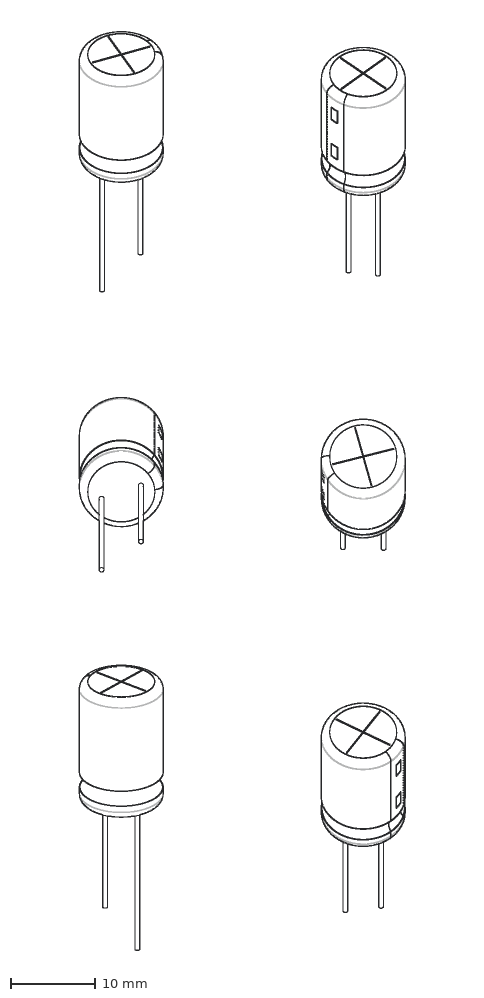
import cadquery as cq
import math

DIAMETER = 10.0
TOTAL_HEIGHT = 35.0
LONG_LEAD_LENGTH = 19.0
SHORT_LEAD_LENGTH = 15.0
LEAD_DIAMETER = 0.6
LEAD_PITCH = 5.0

ROUNDING = 1.0
GROOVE_BOTTOM = 1.85
GROOVE_TOP = 3.85
GROOVE_DEPTH = 0.42

SLEEVE_THICKNESS = 0.1
STRIPE_HALF_ANGLE = 16.5
MINUS_HEIGHT = 2.0
MINUS_SPACING = 6.0
MINUS_WIDTH = 1.0

VENT_LENGTH = 7.5
VENT_WIDTH = 0.1
VENT_DEPTH = 0.1

RADIUS = DIAMETER / 2
BODY_HEIGHT = TOTAL_HEIGHT - LONG_LEAD_LENGTH
FLAT_RADIUS = RADIUS - ROUNDING
GROOVE_MIDDLE = (GROOVE_BOTTOM + GROOVE_TOP) / 2
MINUS_MIDDLE = (GROOVE_TOP + BODY_HEIGHT - ROUNDING) / 2


def rolled_body(inset):
    """Rounded, grooved cylinder whose wall lies `inset` inside the outer surface."""
    wall = RADIUS - inset
    corner = (ROUNDING - inset) * math.sqrt(0.5)
    bottom = inset
    top = BODY_HEIGHT - inset
    return (
        cq.Workplane("YZ")
        .moveTo(0, bottom)
        .lineTo(FLAT_RADIUS, bottom)
        .threePointArc((FLAT_RADIUS + corner, ROUNDING - corner), (wall, ROUNDING))
        .lineTo(wall, GROOVE_BOTTOM)
        .threePointArc((wall - GROOVE_DEPTH, GROOVE_MIDDLE), (wall, GROOVE_TOP))
        .lineTo(wall, BODY_HEIGHT - ROUNDING)
        .threePointArc((FLAT_RADIUS + corner, BODY_HEIGHT - ROUNDING + corner), (FLAT_RADIUS, top))
        .lineTo(0, top)
        .close()
        .revolve(360, (0, 0, 0), (0, 1, 0))
    )


def end_plugs():
    """Round column that fills the sleeve openings at both ends."""
    return cq.Workplane("XY").circle(FLAT_RADIUS).extrude(BODY_HEIGHT)


def bare_can():
    """Metal can that fills the sleeve and is flush with it at both ends."""
    return rolled_body(SLEEVE_THICKNESS).union(end_plugs())


def make_can():
    """Can with two crossed vent grooves in its top end."""
    groove = (
        cq.Workplane("XY", origin=(0, 0, BODY_HEIGHT - VENT_DEPTH))
        .rect(VENT_LENGTH, VENT_WIDTH)
        .extrude(VENT_DEPTH)
    )
    crossing_groove = groove.rotate((0, 0, 0), (0, 0, 1), 90)
    return bare_can().cut(groove).cut(crossing_groove)


def stripe_sector():
    """Full-height triangular prism that takes the +Y sector out of the sleeve layer."""
    reach = DIAMETER
    half_width = reach * math.tan(math.radians(STRIPE_HALF_ANGLE))
    return (
        cq.Workplane("XY")
        .polyline([(0, 0), (half_width, reach), (-half_width, reach)])
        .close()
        .extrude(BODY_HEIGHT)
    )


def minus_block(z):
    """Block that takes one minus sign, centred at height z, out of the stripe."""
    return cq.Workplane("XY", origin=(0, RADIUS, z)).box(MINUS_WIDTH, RADIUS, MINUS_HEIGHT)


def make_lead(y, length):
    """Round wire hanging from the bottom of the can."""
    return cq.Workplane("XY", origin=(0, y, -length)).circle(LEAD_DIAMETER / 2).extrude(length)


can = make_can()

sleeve_layer = rolled_body(0).cut(bare_can())
sleeve = sleeve_layer.cut(stripe_sector())
stripe = sleeve_layer.intersect(stripe_sector())
minus_signs = []
for side in (-1, 1):
    block = minus_block(MINUS_MIDDLE + side * MINUS_SPACING / 2)
    minus_signs.append(stripe.intersect(block))
    stripe = stripe.cut(block)

leads = []
for side, length in ((-1, LONG_LEAD_LENGTH), (1, SHORT_LEAD_LENGTH)):
    leads.append(make_lead(side * LEAD_PITCH / 2, length))

result = cq.Compound.makeCompound(
    [can.val(), sleeve.val(), stripe.val()] + [body.val() for body in minus_signs + leads]
)